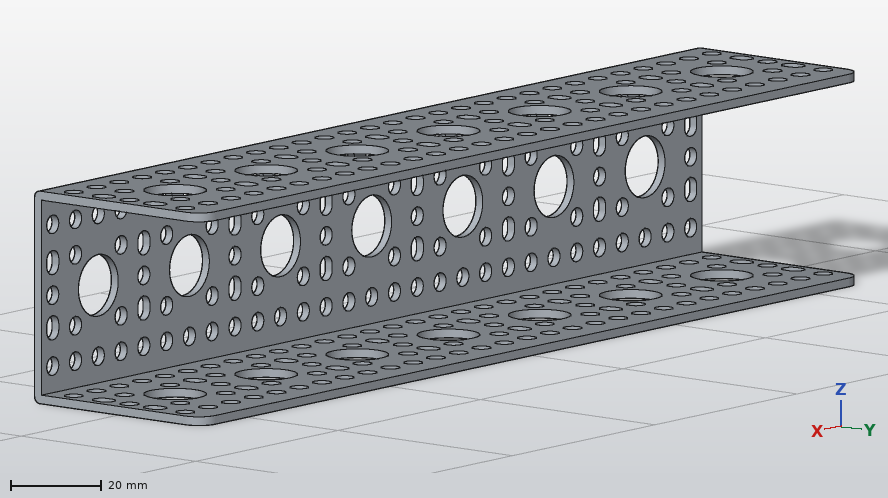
import cadquery as cq

length = 232.0
columns = 29
wall = 2.0
bend_radius = 1.5
corner_radius = 4.6
small_hole_diameter = 4.2
large_hole_diameter = 14.0
slot_stretch = 1.28

pitch = length / columns
side = 6 * pitch
inner_row = pitch
outer_row = 2 * pitch

columns_per_repeat = 4
large_hole_step = 2


def channel():
    """U-channel along X: web on the -Y side, open towards +Y."""
    outer = cq.Workplane("XY").box(length, side, side)
    outer = outer.edges("|X and <Y").fillet(bend_radius)
    cavity = cq.Workplane("XY").box(length, side, side - 2 * wall).translate((0, wall, 0))
    return outer.cut(cavity).edges("|Z and >Y").fillet(corner_radius)


def round_punches(plane, points, diameter, depth):
    """Round punches of the given length, centred on the plane."""
    return cq.Workplane(plane).pushPoints(points).circle(diameter / 2).extrude(depth / 2, both=True)


def slot_punches(plane, points, depth):
    """Punches as wide as the small holes, stretched across the channel."""
    slots = cq.Workplane(plane).pushPoints(points)
    slots = slots.slot2D(small_hole_diameter + slot_stretch, small_hole_diameter, 90)
    return slots.extrude(depth / 2, both=True)


def punch_face(body, plane, depth):
    """Punch the hole pattern about the plane origin, half the depth to each side of the plane."""
    slot_row = inner_row - slot_stretch / 2
    small_holes = []
    large_holes = []
    slots = []
    for column in range(columns):
        x = (column - (columns - 1) / 2) * pitch
        step = column % columns_per_repeat
        small_holes += [(x, -outer_row), (x, outer_row)]
        if step == 0:
            small_holes.append((x, 0))
            slots += [(x, -slot_row), (x, slot_row)]
        elif step == large_hole_step:
            large_holes.append((x, 0))
        else:
            small_holes += [(x, -inner_row), (x, inner_row)]
    body = body.cut(round_punches(plane, small_holes, small_hole_diameter, depth))
    body = body.cut(round_punches(plane, large_holes, large_hole_diameter, depth))
    return body.cut(slot_punches(plane, slots, depth))


flange_punch_depth = 2 * side
web_punch_depth = 4 * wall
web_plane = cq.Plane(origin=(0, -side / 2, 0), xDir=(1, 0, 0), normal=(0, -1, 0))
result = punch_face(channel(), cq.Plane.XY(), flange_punch_depth)
result = punch_face(result, web_plane, web_punch_depth)